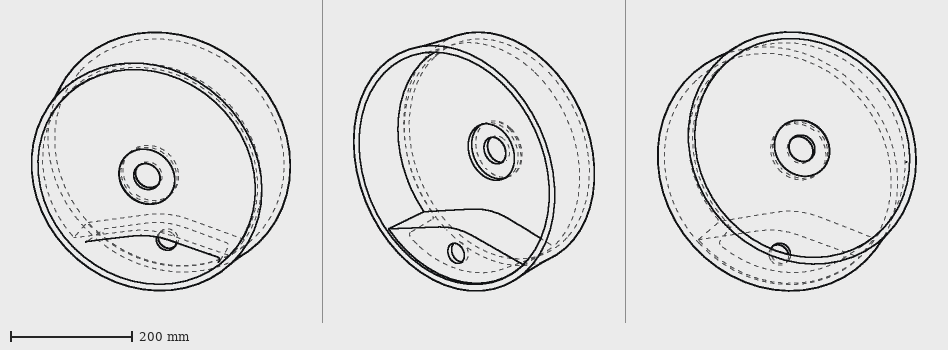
import cadquery as cq
import math

depth = 120.0
rear_radius = 210.0
waist_radius = 203.3
rim_radius = 199.5
wall = 11.5
plate = 10.0
rim_y = -depth / 2
rear_y = depth / 2

floor_centre_depth = 10.0
floor_edge_depth = 17.5
boss_depth = 1.3
boss_radius = 48.5
boss_cove = 10.0
drain_hole_radius = 22.5

pocket_depth = 105.0
pocket_crest_z = -117.5
pocket_crest_radius = 130.0
pocket_slope = 14.3
pocket_draft = 3.0
pocket_lip_fillet = 16.0
tap_hole_radius = 17.2
tap_hole_z = -150.5

inner_radius = rim_radius - wall
inner_draft = 2.5
inner_fillet = 5.5


def level(distance):
    """Y coordinate at a distance behind the rim."""
    return rim_y + distance


def inner_radius_at(distance):
    return inner_radius - distance * math.tan(math.radians(inner_draft))


def revolve(profile):
    return profile.close().revolve(360, (0, 0, 0), (0, 1, 0))


def outer_flank(inset):
    """Solid bounded by the outer flank moved inward by inset."""
    return revolve(
        cq.Workplane("XY")
        .moveTo(0, rim_y)
        .lineTo(rim_radius - inset, rim_y)
        .threePointArc((waist_radius - inset, 0), (rear_radius - inset, rear_y))
        .lineTo(0, rear_y)
    )


floor_edge_radius = inner_radius_at(floor_edge_depth)
dome_radius = (floor_edge_radius**2 / (floor_edge_depth - floor_centre_depth)
               + floor_edge_depth - floor_centre_depth) / 2


def dome_y(radius, offset=0):
    """Y of the domed floor, or of its rear face when offset by the plate."""
    sag = dome_radius - math.sqrt(dome_radius**2 - radius**2)
    return level(floor_centre_depth + sag + offset)


def boss():
    foot_radius = boss_radius + boss_cove
    foot_y = dome_y(foot_radius)
    top_y = level(boss_depth)
    cove_reach = boss_cove * (1 - math.sqrt(0.5))
    cove_middle = (boss_radius + cove_reach, foot_y - cove_reach)
    return revolve(
        cq.Workplane("XY")
        .moveTo(0, top_y)
        .lineTo(boss_radius, top_y)
        .lineTo(boss_radius, foot_y - boss_cove)
        .threePointArc(cove_middle, (foot_radius, foot_y))
        .lineTo(foot_radius, foot_y + plate / 2)
        .lineTo(0, foot_y + plate / 2)
    )


def rear_cavity():
    """Hollow behind the floor, reaching into the back of the boss."""
    edge = inner_radius_at(floor_edge_depth + plate)
    half = edge / 2
    dome = revolve(
        cq.Workplane("XY")
        .moveTo(0, rear_y)
        .lineTo(rear_radius, rear_y)
        .lineTo(rear_radius, dome_y(edge, plate))
        .lineTo(edge, dome_y(edge, plate))
        .threePointArc((half, dome_y(half, plate)), (0, dome_y(0, plate)))
    )
    boss_back_y = level(boss_depth + plate)
    boss_back = cq.Workplane("XZ", origin=(0, boss_back_y, 0)).circle(boss_radius).extrude(-depth / 2)
    return dome.union(boss_back).intersect(outer_flank(wall))


def below_wave(bottom_depth, crest_rise, draft):
    """Block below the rounded, sloping pocket crest, from bottom_depth forward to the rim."""
    radius = pocket_crest_radius + crest_rise
    slope = math.radians(pocket_slope)
    crest = pocket_crest_z + crest_rise
    tangent_x = radius * math.sin(slope)
    tangent_z = crest - radius * (1 - math.cos(slope))
    side_x = rear_radius + wall
    side_z = tangent_z - (side_x - tangent_x) * math.tan(slope)
    low_z = -rear_radius - wall
    return (
        cq.Workplane("XZ", origin=(0, level(bottom_depth), 0))
        .moveTo(-side_x, low_z)
        .lineTo(-side_x, side_z)
        .lineTo(-tangent_x, tangent_z)
        .threePointArc((0, crest), (tangent_x, tangent_z))
        .lineTo(side_x, side_z)
        .lineTo(side_x, low_z)
        .close()
        .extrude(bottom_depth, taper=-draft)
    )


def floor_block():
    """Domed floor, cut away below the pocket crest and rounded along that lip."""
    reach = rear_radius + wall / 2
    dome = revolve(
        cq.Workplane("XY")
        .moveTo(0, level(pocket_depth))
        .lineTo(reach, level(pocket_depth))
        .lineTo(reach, dome_y(reach))
        .threePointArc((reach / 2, dome_y(reach / 2)), (0, dome_y(0)))
    )
    block = dome.cut(below_wave(pocket_depth, 0, pocket_draft))
    lip = block.faces("<Y").edges(cq.selectors.BoxSelector(
        (-reach, rim_y, -rear_radius), (reach, 0, pocket_crest_z / 2), boundingbox=True))
    return lip.fillet(pocket_lip_fillet)


def basin_space():
    """Hollow of the basin: all that lies inside the inner wall and in front of the floor."""
    cone = revolve(
        cq.Workplane("XY")
        .moveTo(0, rim_y)
        .lineTo(inner_radius, rim_y)
        .lineTo(inner_radius_at(pocket_depth), level(pocket_depth))
        .lineTo(0, level(pocket_depth))
    )
    cone = cone.rotate((0, 0, 0), (0, 1, 0), 90)
    space = cone.cut(floor_block())
    behind_rim = cq.selectors.BoxSelector(
        (-rim_radius, rim_y + boss_depth, -rim_radius), (rim_radius, rear_y, rim_radius))
    wall_edges = space.faces("%CONE").edges("not %LINE").edges(behind_rim)
    bottom_edges = space.faces(">Y").edges()
    return wall_edges.add(bottom_edges).fillet(inner_fillet)


def through_hole(radius, z):
    return cq.Workplane("XZ", origin=(0, rear_y, z)).circle(radius).extrude(depth)


pocket_shell = below_wave(pocket_depth + plate, plate, pocket_draft)
hollow = rear_cavity().cut(pocket_shell)
result = outer_flank(0).cut(basin_space()).union(boss()).cut(hollow)
result = result.cut(through_hole(drain_hole_radius, 0))
result = result.cut(through_hole(tap_hole_radius, tap_hole_z))